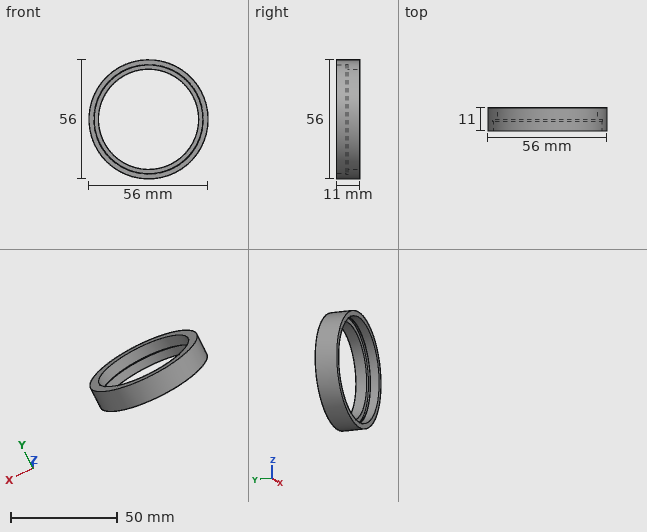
import cadquery as cq

outer_diameter = 56.0
bore_diameter = 46.9
counterbore_diameter = 50.95
width = 11.0
counterbore_depth = width / 2
relief_depth = 0.3
relief_width = 1.0


def cylinder(diameter, length, start=0):
    """Cylinder along +Y, starting a given distance in from the -Y end face."""
    start_plane = cq.Workplane("XZ", origin=(0, start - width / 2, 0))
    return start_plane.circle(diameter / 2).extrude(-length)


ring = cylinder(outer_diameter, width)
bore = cylinder(bore_diameter, width)
counterbore = cylinder(counterbore_diameter, counterbore_depth)
relief = cylinder(
    counterbore_diameter + 2 * relief_depth,
    relief_width,
    start=counterbore_depth - relief_width,
)

result = ring.cut(bore).cut(counterbore).cut(relief)